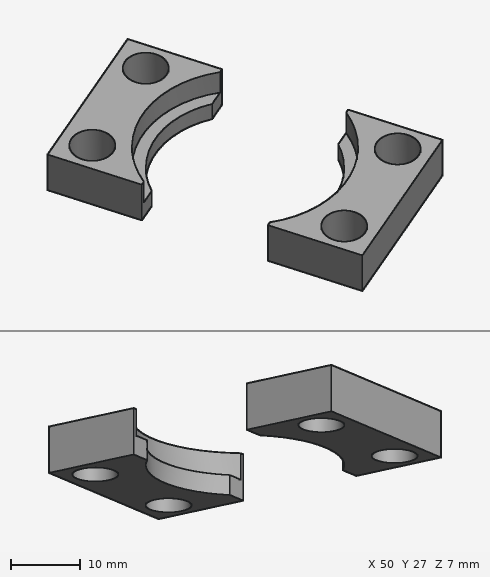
import cadquery as cq

overall_length = 50.0
block_width = 27.0
block_height = 7.0
block_length = 15.0

bore_radius = 14.25
seat_radius = 16.25
ledge_height = 3.0

bolt_hole_diameter = 6.6
bolt_hole_spacing = 18.0
bolt_hole_edge_distance = 5.0

block_center_x = (overall_length - block_length) / 2
bolt_hole_x = overall_length / 2 - bolt_hole_edge_distance


def seat_cutter():
    """Through bore with a wider seat above the ledge, on the Z axis."""
    bore = cq.Workplane("XY").circle(bore_radius).extrude(block_height)
    seat = (
        cq.Workplane("XY", origin=(0, 0, ledge_height))
        .circle(seat_radius)
        .extrude(block_height - ledge_height)
    )
    return bore.union(seat)


def bolt_holes(side):
    """Two through holes for the block on the given side."""
    centers = [(side * bolt_hole_x, end * bolt_hole_spacing / 2) for end in (-1, 1)]
    return (
        cq.Workplane("XY")
        .pushPoints(centers)
        .circle(bolt_hole_diameter / 2)
        .extrude(block_height)
    )


def clamp_block(side):
    """One clamp block; side is -1 for the -X block and 1 for the +X block."""
    blank = (
        cq.Workplane("XY")
        .center(side * block_center_x, 0)
        .rect(block_length, block_width)
        .extrude(block_height)
    )
    return blank.cut(seat_cutter()).cut(bolt_holes(side))


clamp_blocks = [clamp_block(side) for side in (-1, 1)]

result = cq.Compound.makeCompound([block.solids().val() for block in clamp_blocks])